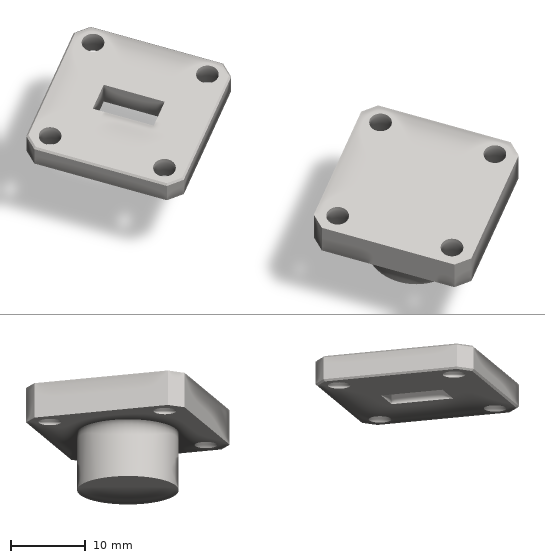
import cadquery as cq

overall_length = 63.15
flange_side = 22.35
flange_center_x = (overall_length - flange_side) / 2
corner_cut = 1.75

hole_diameter = 3.0
hole_pitch_x = 16.2
hole_pitch_y = 17.05

window_flange_thickness = 3.55
window_length = 8.65
window_width = 4.35
edge_chamfer = 0.25

boss_flange_thickness = 4.8
boss_diameter = 13.6
overall_height = 12.7
boss_height = overall_height - boss_flange_thickness


def flange_blank(thickness):
    """Square plate with cut corners, hanging down from Z = 0."""
    return (
        cq.Workplane("XY")
        .rect(flange_side, flange_side)
        .extrude(-thickness)
        .edges("|Z")
        .chamfer(corner_cut)
    )


def drill_screw_holes(flange):
    """Cut the four through holes near the corners."""
    return (
        flange.faces(">Z")
        .workplane(origin=(0, 0, 0))
        .rect(hole_pitch_x, hole_pitch_y, forConstruction=True)
        .vertices()
        .hole(hole_diameter)
    )


def make_window_flange():
    """Thin flange with chamfered rims and a rectangular through window."""
    blank = flange_blank(window_flange_thickness)
    blank = blank.faces("<Z or >Z").edges().chamfer(edge_chamfer)
    flange = drill_screw_holes(blank)
    window = cq.Workplane("XY").rect(window_length, window_width).extrude(-window_flange_thickness)
    return flange.cut(window)


def make_boss_flange():
    """Thick flange with sharp rims and a solid round boss below it."""
    flange = drill_screw_holes(flange_blank(boss_flange_thickness))
    boss = (
        cq.Workplane("XY")
        .workplane(offset=-boss_flange_thickness)
        .circle(boss_diameter / 2)
        .extrude(-boss_height)
    )
    return flange.union(boss)


window_flange = make_window_flange().translate((-flange_center_x, 0, 0))
boss_flange = make_boss_flange().translate((flange_center_x, 0, 0))

result = cq.Compound.makeCompound([window_flange.val(), boss_flange.val()])